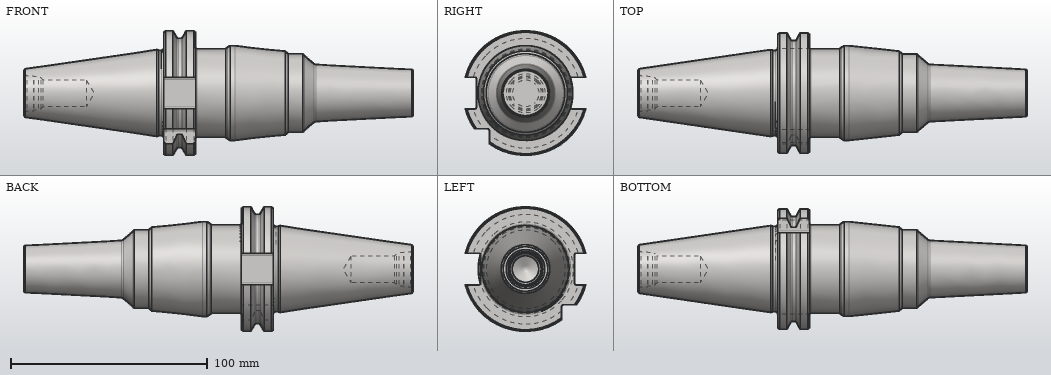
import cadquery as cq
import math

total_length = 198.2

gauge_radius = 22.2
gauge_x = 67.8
shank_slope = 7 / 48
end_radius = gauge_radius - gauge_x * shank_slope
end_chamfer_length = 0.5
end_chamfer_depth = 1.0

neck_radius = 21.8
neck_start_x = 68.8
neck_fillet = 1.2

flange_radius = 31.7
flange_start_x = 71.2
flange_width = 16.3
flange_end_x = flange_start_x + flange_width
flange_chamfer = 1.0
flange_chamfer_depth = 0.8
groove_center_x = flange_start_x + flange_width / 2
groove_mouth_width = 6.7
groove_root_radius = 28.0
groove_half_angle = math.radians(30)
groove_root_fillet = 0.8

body_radius = 22.6
body_fillet = 0.5
collar_radius = 24.2
collar_bevel_x = 102.7
collar_step_x = 103.7
collar_step_radius = 23.4
collar_start_x = 105.0
collar_end_x = 107.5
sleeve_end_radius = 21.5
sleeve_end_x = 133.0
ring_radius = 20.0
ring_start_x = 134.6
ring_end_x = 142.7
ring_edge = 0.5
ring_end_radius = 19.2
shoulder_end_x = 148.0
shoulder_fillet = 1.5

nose_root_radius = 14.7
nose_tip_radius = 12.0
nose_tip_chamfer = 0.5

mouth_radius = 10.0
mouth_cone_depth = 1.5
recess_radius = 9.0
recess_depth = 4.8
recess_step_length = 0.2
pilot_radius = 8.5
pilot_depth = 7.3
thread_radius = 8.0
thread_start_depth = 8.5
core_radius = 6.7
core_start_depth = 9.7
bore_depth = 31.7
drill_tip_half_angle = math.radians(59)

slot_width = 16.0
slot_floor_near = 25.0
slot_floor_far = 22.8
slot_fillet = 1.0
notch_floor_y = 18.5
notch_floor_z = 18.2

ring_tolerance = 0.02


def revolve_outline(outline):
    """Turn a list of (x, radius) points around the X axis, with the seam on the -Y side."""
    points = [(x, -radius) for x, radius in outline]
    return cq.Workplane("XY").polyline(points).close().revolve(360, (0, 0, 0), (1, 0, 0))


def fillet_ring(body, x, radius, fillet):
    """Round the circular edge of the given radius at position x."""
    ring = body.edges("%CIRCLE").filter(
        lambda edge: math.isclose(edge.Center().x, x, abs_tol=ring_tolerance)
        and math.isclose(edge.radius(), radius, abs_tol=ring_tolerance)
    )
    return ring.fillet(fillet)


def make_body():
    """Turned outer shape, before the bore and the flange cuts."""
    mouth_half = groove_mouth_width / 2
    root_half = mouth_half - (flange_radius - groove_root_radius) * math.tan(groove_half_angle)
    rim_radius = flange_radius - flange_chamfer_depth
    outline = [
        (0, 0),
        (0, end_radius - end_chamfer_depth),
        (end_chamfer_length, end_radius + end_chamfer_length * shank_slope),
        (gauge_x, gauge_radius),
        (neck_start_x, neck_radius),
        (flange_start_x, neck_radius),
        (flange_start_x, rim_radius),
        (flange_start_x + flange_chamfer, flange_radius),
        (groove_center_x - mouth_half, flange_radius),
        (groove_center_x - root_half, groove_root_radius),
        (groove_center_x + root_half, groove_root_radius),
        (groove_center_x + mouth_half, flange_radius),
        (flange_end_x - flange_chamfer, flange_radius),
        (flange_end_x, rim_radius),
        (flange_end_x, body_radius),
        (collar_bevel_x, body_radius),
        (collar_step_x, collar_step_radius),
        (collar_start_x, collar_radius),
        (collar_end_x, collar_radius),
        (sleeve_end_x, sleeve_end_radius),
        (ring_start_x, ring_radius),
        (ring_end_x - ring_edge, ring_radius),
        (ring_end_x, ring_end_radius),
        (shoulder_end_x, nose_root_radius),
        (total_length - nose_tip_chamfer, nose_tip_radius),
        (total_length, nose_tip_radius - nose_tip_chamfer),
        (total_length, 0),
    ]
    body = revolve_outline(outline)
    body = fillet_ring(body, flange_start_x, neck_radius, neck_fillet)
    body = fillet_ring(body, groove_center_x - root_half, groove_root_radius, groove_root_fillet)
    body = fillet_ring(body, groove_center_x + root_half, groove_root_radius, groove_root_fillet)
    body = fillet_ring(body, flange_end_x, body_radius, body_fillet)
    return fillet_ring(body, shoulder_end_x, nose_root_radius, shoulder_fillet)


def make_bore():
    """Blind stepped bore with a conical drill tip."""
    tip_depth = bore_depth + core_radius / math.tan(drill_tip_half_angle)
    outline = [
        (0, 0),
        (0, mouth_radius),
        (mouth_cone_depth, recess_radius),
        (recess_depth, recess_radius),
        (recess_depth + recess_step_length, pilot_radius),
        (pilot_depth, pilot_radius),
        (thread_start_depth, thread_radius),
        (core_start_depth, core_radius),
        (bore_depth, core_radius),
        (tip_depth, 0),
    ]
    return revolve_outline(outline)


def flange_cutter(y_min, y_max, z_min, z_max):
    """Box spanning the flange width, between the given Y and Z limits."""
    return (
        cq.Workplane("XY")
        .box(flange_width, y_max - y_min, z_max - z_min, centered=False)
        .translate((flange_start_x, y_min, z_min))
    )


def make_slots():
    """Two opposed driving slots with different floor distances from the axis."""
    half = slot_width / 2
    near = flange_cutter(-flange_radius, -slot_floor_near, -half, half)
    near = near.edges("|X and >Y").fillet(slot_fillet)
    far = flange_cutter(slot_floor_far, flange_radius, -half, half)
    far = far.edges("|X and <Y").fillet(slot_fillet)
    return near.union(far)


def make_notch():
    """Orientation notch in the -Y, -Z quadrant of the flange."""
    notch = flange_cutter(-flange_radius, -notch_floor_y, -flange_radius, -notch_floor_z)
    return notch.edges("|X and >Y and >Z").fillet(slot_fillet)


result = make_body().cut(make_bore()).cut(make_slots()).cut(make_notch())